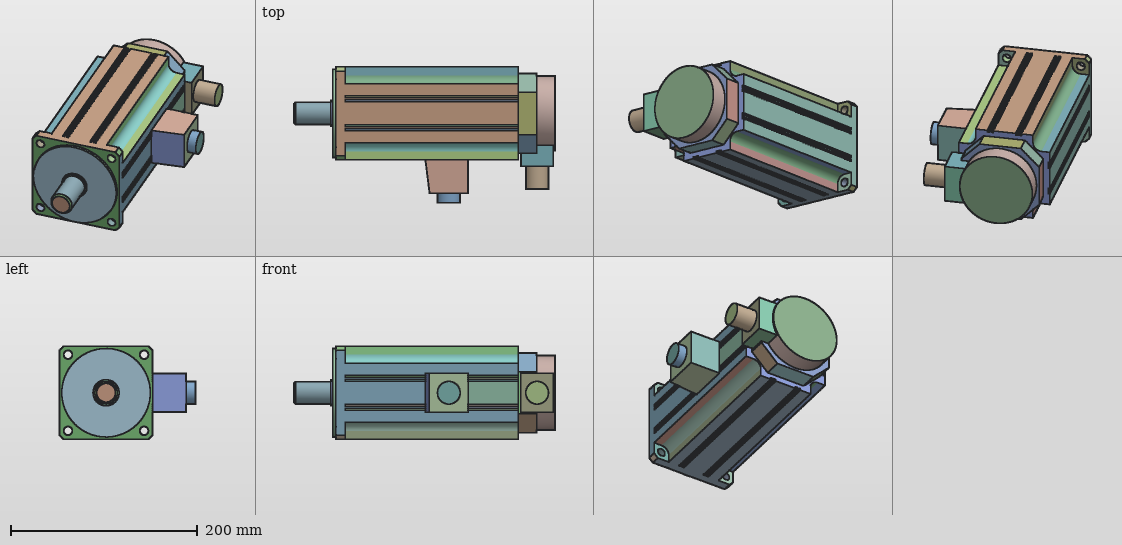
import cadquery as cq


frame_side = 100.0
flange_thickness = 10.0
flange_corner_diameter = 135.0
bolt_spacing = 81.5
bolt_hole_diameter = 9.0
pilot_diameter = 95.0
pilot_height = 3.5

housing_length = 185.5
corner_notch = 18.5
notch_fillet = corner_notch / 2
groove_width = 2.1
groove_depth = 2.0
groove_offsets = (13.5, 17.5)

plate_side = 85.7
plate_corner_cut = 20.2
plate_thickness = 19.5
cap_diameter = 80.0
cap_length = 20.0

outlet_height = 41.5
stub_diameter = 24.5
power_box_rear = 141.7
power_box_depth = 35.8
power_box_slant = 4.5
power_stub_length = 10.0
encoder_block_gap = 2.8
encoder_block_length = 34.7
encoder_block_face = -56.8
encoder_stub_length = 24.5

shaft_tip_reach = 45.0
shaft_diameter = 24.0
shaft_chamfer = 2.0
collar_diameter = 28.0
collar_length = 2.0

half_side = frame_side / 2
housing_rear = flange_thickness + housing_length
plate_rear = housing_rear + plate_thickness
power_box_face = -half_side - power_box_depth
power_box_front = power_box_rear - outlet_height
encoder_block_front = housing_rear + encoder_block_gap
encoder_block_rear = encoder_block_front + encoder_block_length


def section_at(x):
    """Workplane across the motor axis at x, facing +X, with local axes along Y and Z."""
    return cq.Workplane("YZ", origin=(x, 0, 0))


def cylinder_along_x(x, diameter, length):
    return section_at(x).circle(diameter / 2).extrude(length)


def make_flange():
    flange = section_at(0).rect(frame_side, frame_side).extrude(flange_thickness)
    flange = flange.intersect(cylinder_along_x(0, flange_corner_diameter, flange_thickness))
    bolt_holes = (
        section_at(0)
        .rect(bolt_spacing, bolt_spacing, forConstruction=True)
        .vertices()
        .circle(bolt_hole_diameter / 2)
        .extrude(flange_thickness)
    )
    pilot = cylinder_along_x(-pilot_height, pilot_diameter, pilot_height)
    return flange.cut(bolt_holes).union(pilot)


def corner_notch_cutter():
    """Notch along the +Y +Z edge; its inner corner is rounded."""
    inner = half_side - corner_notch
    notch = section_at(flange_thickness).rect(corner_notch, corner_notch, centered=False)
    notch = notch.extrude(housing_length).edges("|X and <Y and <Z").fillet(notch_fillet)
    return notch.translate((0, inner, inner))


def side_groove_cutter():
    """Two pairs of narrow grooves along the +Z side."""
    groove_places = [(side * offset, half_side) for side in (-1, 1) for offset in groove_offsets]
    return (
        section_at(flange_thickness)
        .pushPoints(groove_places)
        .rect(groove_width, 2 * groove_depth)
        .extrude(housing_length)
    )


def make_housing_tube():
    tube = section_at(flange_thickness).rect(frame_side, frame_side).extrude(housing_length)
    for quarter in range(4):
        for cutter in (corner_notch_cutter(), side_groove_cutter()):
            tube = tube.cut(cutter.rotate((0, 0, 0), (1, 0, 0), 90 * quarter))
    return tube


def make_rear_cover():
    plate = section_at(housing_rear).rect(plate_side, plate_side).extrude(plate_thickness)
    plate = plate.edges("|X").chamfer(plate_corner_cut)
    return plate.union(cylinder_along_x(plate_rear, cap_diameter, cap_length))


def cable_stub(x, face_y, length):
    """Round cable outlet that leaves a face at face_y toward -Y."""
    return cq.Workplane("XZ", origin=(x, face_y, 0)).circle(stub_diameter / 2).extrude(length)


def make_power_box():
    """Terminal box on the housing side, with a slanted front."""
    outline = [
        (power_box_front - power_box_slant, -half_side),
        (power_box_rear, -half_side),
        (power_box_rear, power_box_face),
        (power_box_front, power_box_face),
    ]
    box = cq.Workplane("XY").polyline(outline).close().extrude(outlet_height / 2, both=True)
    stub_x = (power_box_front + power_box_rear) / 2
    return box.union(cable_stub(stub_x, power_box_face, power_stub_length))


def make_encoder_block():
    """Connector block on the rear cover; it reaches in to the motor axis so that the two join."""
    block = (
        cq.Workplane("XY", origin=(encoder_block_front, encoder_block_face, 0))
        .box(encoder_block_length, -encoder_block_face, outlet_height, centered=(False, False, True))
    )
    stub_x = (encoder_block_front + encoder_block_rear) / 2
    return block.union(cable_stub(stub_x, encoder_block_face, encoder_stub_length))


def make_motor_housing():
    housing = make_flange().union(make_housing_tube())
    for feature in (make_rear_cover(), make_power_box(), make_encoder_block()):
        housing = housing.union(feature)
    return housing


def make_shaft():
    """Shaft whose collar rests against the pilot face."""
    collar_front = -pilot_height - collar_length
    shaft = cylinder_along_x(-shaft_tip_reach, shaft_diameter, shaft_tip_reach + collar_front)
    shaft = shaft.faces("<X").chamfer(shaft_chamfer)
    return shaft.union(cylinder_along_x(collar_front, collar_diameter, collar_length))


motor_housing = make_motor_housing()
shaft = make_shaft()

result = cq.Compound.makeCompound([motor_housing.val(), shaft.val()])